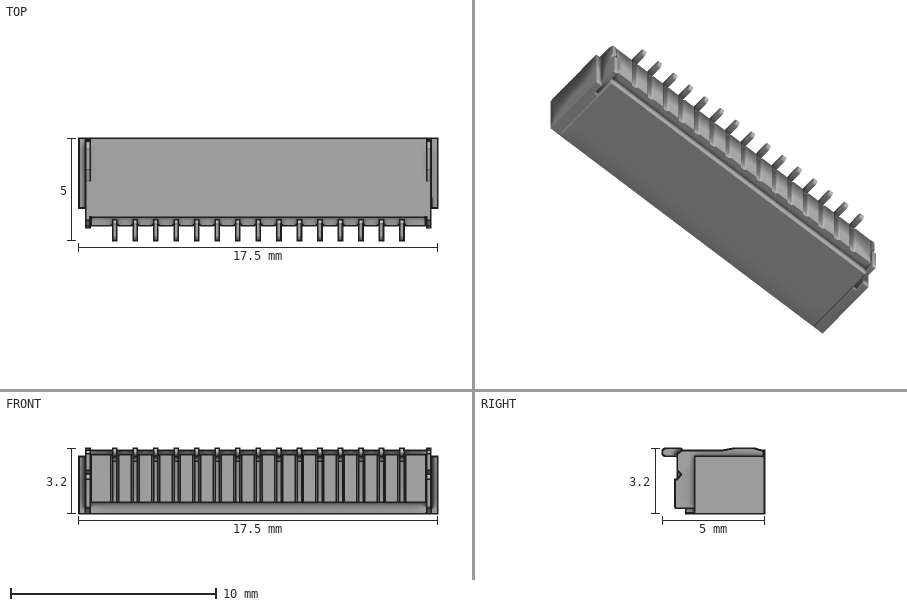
import cadquery as cq
import math

overall_length = 17.5
overall_depth = 5.0
overall_height = 3.2

contact_count = 15
contact_row_length = 14.0
contact_pitch = contact_row_length / (contact_count - 1)
contact_width = 0.21
foot_thickness = 0.4
foot_bottom = overall_height - foot_thickness
leg_back = -3.97
leg_front = -4.2
leg_bottom = 2.57
outer_bend_radius = 0.2
inner_bend_radius = 0.1

housing_half_length = 8.2
housing_front = -3.85
housing_top = 3.1
edge_chamfer = 0.061

wall_front = -4.27
wall_bottom = 0.56
wall_top = 2.89
wall_end_gap = 0.05
groove_depth = 0.09
groove_side_taper = 0.09
groove_floor_width = contact_width
groove_mouth_width = groove_floor_width + 2 * groove_side_taper

plate_thickness = 0.21
plate_inner = housing_half_length
plate_outer = plate_inner + plate_thickness
plate_back = -0.07
plate_back_chamfer_drop = 0.07
plate_front = -4.38
plate_bottom = 0.26
plate_corner_radius = 0.1
nose_chamfer_depth = 0.26
nose_chamfer_drop = 0.18
notch_top = 2.14
notch_apex_y = -4.06
notch_apex_z = 1.92
notch_bottom = 1.68

hump_start = -0.15
hump_flat_start = -0.5
hump_flat_end = -1.5
hump_end = -2.06

pad_depth = 3.41
pad_height = 2.8
pad_inner = 8.44
tab_setback = 0.52


def box(x_min, x_max, y_min, y_max, z_min, z_max):
    """Axis-aligned box between opposite corners."""
    size = (x_max - x_min, y_max - y_min, z_max - z_min)
    return cq.Workplane("XY").box(*size, centered=False).translate((x_min, y_min, z_min))


def side_profile(x_start):
    """Sketch plane for (Y, Z) outlines that extrude toward +X."""
    return cq.Workplane("YZ", origin=(x_start, 0, 0))


def housing():
    """Plain block with its two lower end edges chamfered."""
    block = box(-housing_half_length, housing_half_length, housing_front, 0, 0, housing_top)
    return block.edges("|Y and <Z").chamfer(edge_chamfer)


def front_wall():
    """Raised front wall between the end plates, with a tapered groove per contact."""
    half_length = plate_inner - wall_end_gap
    wall = box(-half_length, half_length, wall_front, housing_front, wall_bottom, wall_top)
    groove_floor = wall_front + groove_depth
    groove = (
        cq.Workplane("XY", origin=(0, 0, wall_bottom))
        .moveTo(-groove_mouth_width / 2, wall_front)
        .lineTo(groove_mouth_width / 2, wall_front)
        .lineTo(groove_floor_width / 2, groove_floor)
        .lineTo(-groove_floor_width / 2, groove_floor)
        .close()
        .extrude(wall_top - wall_bottom)
    )
    for x in contact_positions():
        wall = wall.cut(groove.translate((x, 0, 0)))
    return wall


def contact_positions():
    """X centres of the contact row."""
    first = -contact_row_length / 2
    return [first + i * contact_pitch for i in range(contact_count)]


def contact():
    """Bent contact centred on X = 0: a leg in the groove and a round-ended foot."""
    tip_radius = foot_thickness / 2
    tip_centre = -overall_depth + tip_radius
    bend_shift = outer_bend_radius * (1 - math.sqrt(0.5))
    inner_shift = inner_bend_radius * (1 - math.sqrt(0.5))
    return (
        side_profile(-contact_width / 2)
        .moveTo(leg_back, leg_bottom)
        .lineTo(leg_back, overall_height - outer_bend_radius)
        .threePointArc(
            (leg_back - bend_shift, overall_height - bend_shift),
            (leg_back - outer_bend_radius, overall_height),
        )
        .lineTo(tip_centre, overall_height)
        .threePointArc((-overall_depth, foot_bottom + tip_radius), (tip_centre, foot_bottom))
        .lineTo(leg_front - inner_bend_radius, foot_bottom)
        .threePointArc(
            (leg_front - inner_shift, foot_bottom - inner_shift),
            (leg_front, foot_bottom - inner_bend_radius),
        )
        .lineTo(leg_front, leg_bottom)
        .close()
        .extrude(contact_width)
    )


def end_plate(x_start):
    """End plate with a hump on top, a chamfered nose and a V-notch in front."""
    plate = (
        side_profile(x_start)
        .moveTo(plate_back, plate_bottom)
        .lineTo(plate_back, housing_top - plate_back_chamfer_drop)
        .lineTo(hump_start, housing_top)
        .lineTo(hump_flat_start, overall_height)
        .lineTo(hump_flat_end, overall_height)
        .lineTo(hump_end, housing_top)
        .lineTo(wall_front + nose_chamfer_depth, housing_top)
        .lineTo(wall_front, housing_top - nose_chamfer_drop)
        .lineTo(wall_front, notch_top)
        .lineTo(notch_apex_y, notch_apex_z)
        .lineTo(wall_front, notch_bottom)
        .lineTo(plate_front, notch_bottom)
        .lineTo(plate_front, plate_bottom)
        .close()
        .extrude(plate_thickness)
    )
    return plate.edges("|X and <Y and <Z").fillet(plate_corner_radius)


def end_pad():
    """Pad outside the end plate at +X, with a tab reaching under the plate to the housing."""
    pad = box(pad_inner, overall_length / 2, -pad_depth, 0, 0, pad_height)
    tab_front = tab_setback - pad_depth
    tab = box(housing_half_length, pad_inner, tab_front, 0, 0, plate_bottom)
    return pad.union(tab)


result = housing().union(front_wall())
result = result.union(end_plate(-plate_outer)).union(end_plate(plate_inner))
result = result.union(end_pad()).union(end_pad().mirror("YZ"))
for x in contact_positions():
    result = result.union(contact().translate((x, 0, 0)))
result = result.clean()